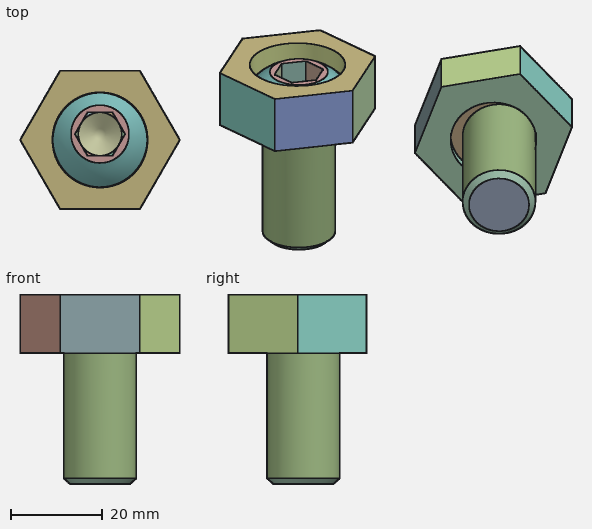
import cadquery as cq
import math


washer_across_flats = 30.15
washer_height = 12.7
bore_diameter = 20.8
lip_height = 2.48

overall_height = 41.25
head_clearance = 0.12
head_diameter = bore_diameter - 2 * head_clearance
eccentricity = 1.3
shank_diameter = 15.9
shank_length = overall_height - washer_height
lip_opening_diameter = shank_diameter + 2 * (eccentricity + head_clearance)
tip_chamfer_height = 1.3
tip_chamfer_width = 1.4

dome_radius = 14.0
crown_diameter = 12.63
crown_recess = 1.15
crown_z = washer_height - crown_recess
dome_centre_z = crown_z - math.sqrt(dome_radius**2 - (crown_diameter / 2) ** 2)

socket_across_flats = 9.45
socket_depth = 5.2
drill_point_angle = 118.0


def hexagon_prism(across_flats, height):
    """Hexagonal prism standing on Z = 0, with two corners on the X axis."""
    across_corners = across_flats / math.cos(math.radians(30))
    return cq.Workplane("XY").polygon(6, across_corners).extrude(height)


def make_washer():
    """Hexagonal washer with a stepped bore, open wide enough below for the shank to turn."""
    return (
        hexagon_prism(washer_across_flats, washer_height)
        .faces(">Z")
        .workplane()
        .cboreHole(lip_opening_diameter, bore_diameter, washer_height - lip_height)
    )


def make_head():
    """Cylinder standing on the lip with a small clearance to the bore, cut by an off-centre dome."""
    head_height = crown_z - lip_height
    cylinder = cq.Workplane("XY", origin=(0, 0, lip_height)).circle(head_diameter / 2).extrude(head_height)
    dome = cq.Workplane("XY").sphere(dome_radius).translate((0, eccentricity, dome_centre_z))
    return cylinder.intersect(dome)


def make_shank():
    """Plain shank from the underside of the head down to its chamfered tip."""
    return (
        cq.Workplane("XY", origin=(0, eccentricity, -shank_length))
        .circle(shank_diameter / 2)
        .extrude(shank_length + lip_height)
        .faces("<Z")
        .chamfer(tip_chamfer_height, tip_chamfer_width)
    )


def make_socket():
    """Hexagonal recess with a conical drill point at its floor."""
    floor_z = crown_z - socket_depth
    point_radius = socket_across_flats / 2
    point_depth = point_radius / math.tan(math.radians(drill_point_angle / 2))
    recess = hexagon_prism(socket_across_flats, socket_depth)
    point_cone = cq.Solid.makeCone(0, point_radius, point_depth)
    drill_point = cq.Workplane(point_cone).translate((0, 0, -point_depth))
    return recess.union(drill_point).translate((0, eccentricity, floor_z))


def make_screw():
    return make_head().union(make_shank()).cut(make_socket())


washer = make_washer()
screw = make_screw()
result = cq.Compound.makeCompound([washer.val(), *screw.vals()])